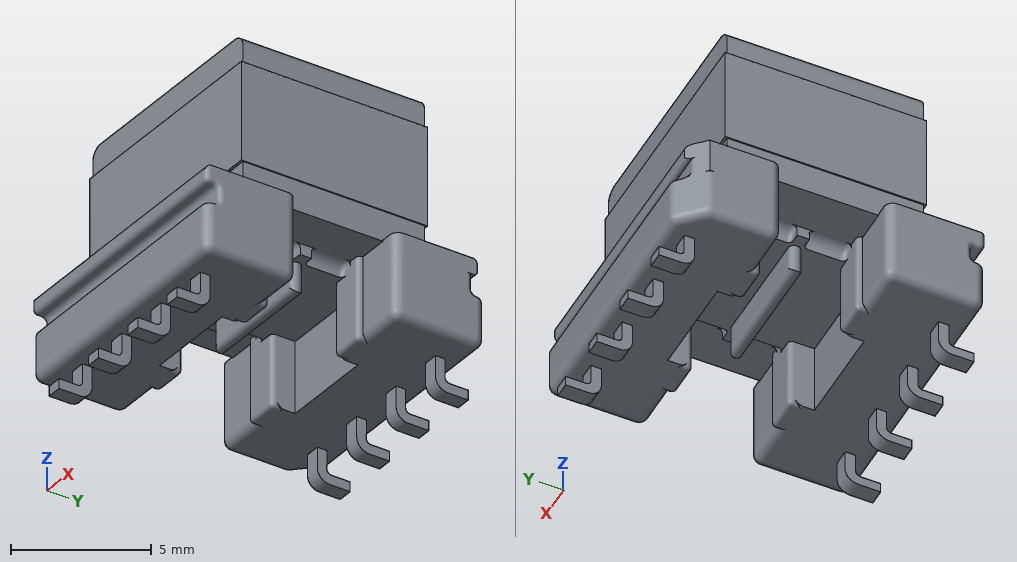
import cadquery as cq
total_length = 12.5
total_height = 11.46
base_width = 11.1
base_half_length = 5.99
base_bottom = 1.38
base_top = 4.9

core_width = 9.54
core_length = 7.8
core_bottom = 4.85
core_radius = 0.5
tape_width = 9.64
tape_length = 8.0
tape_bottom = 6.11
tape_top = 10.24

block_inner_y = 2.11
block_radius = 0.36
bottom_radius = 0.35
corner_chamfer = 1.02
groove_bottom = 3.42
groove_top = 4.22
groove_depth = 0.56
groove_radius = 0.2
lip_radius = 0.2
end_radius = 0.19
rear_lip_setback = 0.35
rear_underside_radius = 0.16

pad_outer_x = 3.49
pad_inner_y = 1.91
pad_radius = 0.19
pad_bottom_radius = 0.18
recess_half_width = 1.99
recess_end_y = 2.91

bridge_half_width = 3.0
bridge_bottom = 4.39
pocket_end_x = 2.5
pocket_radius = 0.19
cove_radius = core_bottom - bridge_bottom
rib_width = 0.49
rib_bottom = 3.15
rib_radius = 0.22
rib_cove_radius = bridge_half_width - pocket_end_x

pin_count = 4
pin_pitch = 2.5
pin_width = 0.64
pin_thickness = 0.41
pin_inner_radius = 0.2
pin_outer_radius = 0.52
pin_inner_y = 4.84

half_width = base_width / 2
reach = 0.006


def block(x0, x1, y0, y1, z0, z1):
    """Box given by its limits along each axis."""
    return cq.Workplane("XY").box(x1 - x0, y1 - y0, z1 - z0, centered=False).translate((x0, y0, z0))


def centred_block(width, length, z0, z1):
    """Box centred on the Z axis."""
    return block(-width / 2, width / 2, -length / 2, length / 2, z0, z1)


def within(x0, x1, y0, y1, z0, z1):
    """Selector for edges whose centre lies inside the given limits."""
    return cq.selectors.BoxSelector((x0, y0, z0), (x1, y1, z1))


def fillet_along_x(body, y, z, radius):
    """Round the edge that runs along X through the point (y, z)."""
    limits = within(-half_width, half_width, y - reach, y + reach, z - reach, z + reach)
    return body.edges("|X").edges(limits).fillet(radius)


def cut_pin_1_corner(body):
    """Cut the -X, +Y corner off at 45 degrees, over the full height of the body."""
    corner = (
        cq.Workplane("XY")
        .moveTo(-half_width, base_half_length)
        .lineTo(-half_width + corner_chamfer, base_half_length)
        .lineTo(-half_width, base_half_length - corner_chamfer)
        .close()
        .extrude(base_top)
    )
    return body.cut(corner)


def terminal_block(lip_y, underside_radius, is_rear):
    """Block on the +Y side with a wire groove under a lip along its outer face."""
    floor_y = base_half_length - groove_depth
    lower = block(-half_width, half_width, block_inner_y, base_half_length, base_bottom, groove_bottom)
    upper = block(-half_width, half_width, block_inner_y, lip_y, groove_bottom, total_height)
    upper = upper.cut(block(-half_width, half_width, floor_y, lip_y, groove_bottom, groove_top))
    if is_rear:
        lower = cut_pin_1_corner(lower)
        upper = cut_pin_1_corner(upper)
        upper = upper.edges("|Z").edges("<X").edges(">Y").fillet(block_radius)
    lower = lower.edges("|Z").fillet(block_radius)
    lower = lower.faces("<Z").edges().fillet(bottom_radius)
    upper = upper.edges("|Z and <Y").fillet(block_radius)
    body = lower.union(upper)

    if not is_rear:
        body = fillet_along_x(body, floor_y, groove_top, groove_radius)
    body = fillet_along_x(body, lip_y, groove_top, underside_radius)
    body = fillet_along_x(body, floor_y, groove_bottom, groove_radius)

    end_edge = within(
        half_width - reach, half_width + reach, floor_y - reach, floor_y + reach,
        groove_bottom + groove_radius, groove_top,
    )
    body = body.edges(end_edge).fillet(end_radius)

    rounded_top = block(-half_width, half_width, 0, lip_y, base_bottom, base_top)
    rounded_top = fillet_along_x(rounded_top, lip_y, base_top, lip_radius)
    waste = block(-half_width, half_width, 0, base_half_length, base_top - lip_radius, total_height)
    return body.cut(waste.cut(rounded_top))


def middle_recess():
    """Space between the two raised pads of the +Y block."""
    return block(-recess_half_width, recess_half_width, 0, recess_end_y, base_bottom, bridge_bottom)


def inner_pad():
    """Raised pad on the inner face of the +Y block, parted by the middle recess."""
    pad_end_y = recess_end_y + pad_radius
    pad = block(-pad_outer_x, pad_outer_x, pad_inner_y, pad_end_y, base_bottom, base_top)
    pad = pad.cut(middle_recess())
    pad = pad.edges("|Z and <Y").fillet(pad_radius)
    return pad.edges("<Z").edges("not >Y").fillet(pad_bottom_radius)


def bridge_rib():
    """Rib along X below the bridge, with noses that curve outwards at the top."""
    cove_start = core_bottom - rib_cove_radius
    rib = (
        cq.Workplane("XZ")
        .moveTo(-bridge_half_width, core_bottom)
        .radiusArc((-pocket_end_x, cove_start), rib_cove_radius)
        .lineTo(-pocket_end_x, rib_bottom)
        .lineTo(pocket_end_x, rib_bottom)
        .lineTo(pocket_end_x, cove_start)
        .radiusArc((bridge_half_width, core_bottom), rib_cove_radius)
        .close()
        .extrude(rib_width / 2, both=True)
    )
    return rib.edges("not >Z").edges("not |Y").fillet(rib_radius)


def bridge():
    """Plate below the core with two coved pockets at each end and a central rib."""
    plate = block(
        -bridge_half_width, bridge_half_width, -recess_end_y, recess_end_y, bridge_bottom, base_top
    )
    pocket = block(pocket_end_x, half_width, rib_width / 2, pad_inner_y, 0, core_bottom)
    pocket = pocket.edges(">Z and <X").fillet(cove_radius)
    pocket = pocket.edges("%CIRCLE").fillet(pocket_radius)
    for cutter in (pocket, pocket.mirror("XZ")):
        plate = plate.cut(cutter).cut(cutter.mirror("YZ"))
    return plate.union(bridge_rib())


def pin():
    """Gull-wing pin on the +Y side, centred on X = 0."""
    foot_tip = total_length / 2
    outer_face_y = pin_inner_y + pin_thickness
    pin_top = (base_bottom + groove_bottom) / 2
    profile = (
        cq.Workplane("YZ")
        .moveTo(pin_inner_y, pin_top)
        .lineTo(pin_inner_y, pin_outer_radius)
        .radiusArc((pin_inner_y + pin_outer_radius, 0), -pin_outer_radius)
        .lineTo(foot_tip, 0)
        .lineTo(foot_tip, pin_thickness)
        .lineTo(outer_face_y + pin_inner_radius, pin_thickness)
        .radiusArc((outer_face_y, pin_thickness + pin_inner_radius), pin_inner_radius)
        .lineTo(outer_face_y, pin_top)
        .close()
    )
    return profile.extrude(pin_width / 2, both=True)


core = centred_block(core_width, core_length, core_bottom, total_height)
core = core.edges("|Y and >Z").fillet(core_radius)
tape = centred_block(tape_width, tape_length, tape_bottom, tape_top)

front_block = terminal_block(base_half_length, groove_radius, False)
front_block = front_block.union(inner_pad()).cut(middle_recess()).mirror("XZ")
rear_block = terminal_block(base_half_length - rear_lip_setback, rear_underside_radius, True)
rear_block = rear_block.union(inner_pad()).cut(middle_recess())

result = core.union(tape).union(front_block).union(rear_block).union(bridge())
for index in range(pin_count):
    pin_x = (index - (pin_count - 1) / 2) * pin_pitch
    rear_pin = pin().translate((pin_x, 0, 0))
    result = result.union(rear_pin).union(rear_pin.mirror("XZ"))